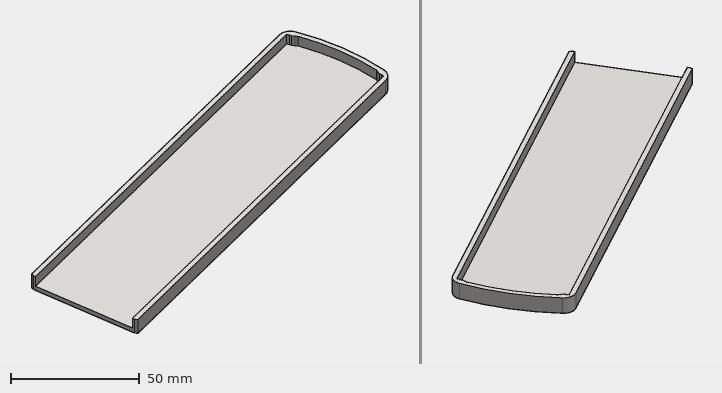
import cadquery as cq

width = 49.5
length = 180.8
height = 7.0

floor_thickness = 2.2
wall = 2.2

outer_crown_radius = 101.2
inner_crown_radius = outer_crown_radius - wall
outer_corner_radius = 5.0

facet_width = 1.0
facet_drops = (0.63, 0.5, 0.0, 0.4)

bevel_across = 1.3
bevel_along = 0.5


def bow_y(x, crown_y, radius):
    """Y of a bow that peaks at crown_y on the centre line."""
    return crown_y - radius + (radius**2 - x**2) ** 0.5


def make_body():
    """Solid plate with bevelled front corners and a bowed, rounded rear end."""
    half_width = width / 2
    shoulder_y = bow_y(half_width, length, outer_crown_radius)
    return (
        cq.Workplane("XY")
        .moveTo(-half_width + bevel_across, 0)
        .lineTo(half_width - bevel_across, 0)
        .lineTo(half_width, bevel_along)
        .lineTo(half_width, shoulder_y)
        .threePointArc((0, length), (-half_width, shoulder_y))
        .lineTo(-half_width, bevel_along)
        .close()
        .extrude(height)
        .edges("|Z")
        .edges(">Y")
        .fillet(outer_corner_radius)
    )


def make_recess():
    """Tray recess, open at the front and top, with faceted rear corners."""
    half_width = width / 2 - wall
    crown_y = length - wall
    bow_end_x = half_width - len(facet_drops) * facet_width

    x = bow_end_x
    y = bow_y(bow_end_x, crown_y, inner_crown_radius)
    corner = [(x, y)]
    for drop in facet_drops:
        x += facet_width
        y -= drop
        corner.append((x, y))

    right_side = [(half_width, 0)] + corner[::-1]
    left_side = [(-px, py) for px, py in reversed(right_side)]
    return (
        cq.Workplane("XY")
        .workplane(offset=floor_thickness)
        .polyline(right_side)
        .threePointArc((0, crown_y), left_side[0])
        .polyline(left_side[1:], includeCurrent=True)
        .close()
        .extrude(height - floor_thickness)
    )


result = make_body().cut(make_recess())